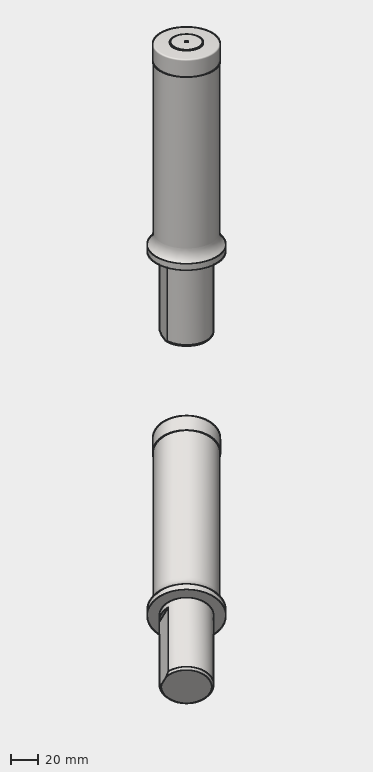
import cadquery as cq
import math

shank_radius = 40 / 2
shank_length = 70
shank_chamfer_width = 1.5
shank_chamfer_height = 2
flange_radius = 58 / 2
flange_thickness = 5.5
column_radius = 49 / 2
flare_arc_radius = 14

flat_depth = 2
flat_length = 65

overall_height = 246.5
cap_radius = 50 / 2
cap_height = 16
cap_edge_fillet = 1.2
cap_slope = math.tan(math.radians(2))
disc_base_radius = 25 / 2
disc_top_radius = 23.5 / 2
disc_step = 0.5
disc_slope = math.tan(math.radians(1))
center_hole_radius = 2.6 / 2
center_hole_depth = 2

flange_top = shank_length + flange_thickness
flare_overhang = flange_radius - column_radius
flare_height = math.sqrt(flare_arc_radius**2 - (flare_arc_radius - flare_overhang) ** 2)
flare_top = flange_top + flare_height
cap_bottom = overall_height - cap_height
disc_edge_top = overall_height - disc_slope * (disc_top_radius - center_hole_radius)
disc_edge_base = disc_edge_top - disc_step
cap_rim_radius = cap_radius - cap_edge_fillet
cap_rim_top = disc_edge_base - cap_slope * (cap_rim_radius - disc_base_radius)


def make_post():
    half_sweep = math.asin(flare_height / flare_arc_radius) / 2
    flare_mid = (
        column_radius + flare_arc_radius * (1 - math.cos(half_sweep)),
        flare_top - flare_arc_radius * math.sin(half_sweep),
    )
    post = (
        cq.Workplane("XZ")
        .lineTo(shank_radius - shank_chamfer_width, 0)
        .lineTo(shank_radius, shank_chamfer_height)
        .lineTo(shank_radius, shank_length)
        .lineTo(flange_radius, shank_length)
        .lineTo(flange_radius, flange_top)
        .threePointArc(flare_mid, (column_radius, flare_top))
        .lineTo(column_radius, cap_bottom)
        .lineTo(0, cap_bottom)
        .close()
        .revolve(360, (0, 0), (0, 1))
    )
    flat_cutter = (
        cq.Workplane("XY", origin=(0, -shank_radius, 0))
        .box(2 * shank_radius, flat_depth, flat_length, centered=(True, False, False))
    )
    return post.cut(flat_cutter)


def make_cap():
    return (
        cq.Workplane("XZ")
        .moveTo(0, cap_bottom)
        .lineTo(cap_radius, cap_bottom)
        .lineTo(cap_radius, cap_rim_top - cap_edge_fillet)
        .radiusArc((cap_rim_radius, cap_rim_top), -cap_edge_fillet)
        .lineTo(disc_base_radius, disc_edge_base)
        .lineTo(disc_top_radius, disc_edge_top)
        .lineTo(center_hole_radius, overall_height)
        .lineTo(center_hole_radius, overall_height - center_hole_depth)
        .lineTo(0, overall_height - center_hole_depth)
        .close()
        .revolve(360, (0, 0), (0, 1))
    )


post = make_post()
cap = make_cap()
result = cq.Compound.makeCompound([post.val(), cap.val()])